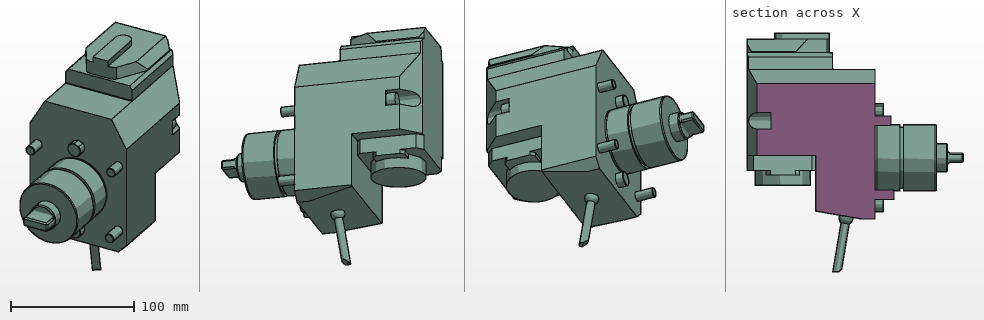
import cadquery as cq
import math


HALF_WIDTH = 45.0
BODY_BACK = 104.0
LEG_BACK = 48.3
REAR_BOTTOM = 1.8
HOUSING_BOTTOM = -50.0
HOUSING_TOP = 71.75
SHOULDER_HALF = 31.0
SHOULDER_ANGLE = 60.0
BOTTOM_CHAMFER = 7.5
BOTTOM_FLAT = 10.2
BOTTOM_SLOPE = 9.7
BACK_CHAMFER = 15.25

LEDGE_FRONT = 34.2
LEDGE_HEIGHT = 0.6
PLATE_FRONT = 34.6
PLATE_TOP = 85.4
PLATE_CHAMFER_RUN = 2.3
PLATE_CHAMFER_RISE = 3.6
DOVETAIL_TOP = 96.5
DOVETAIL_BASE_HALF = 29.0
DOVETAIL_TOP_HALF = 23.4
DOVETAIL_FRONT = 37.1
DOVETAIL_FLAT_HALF = 8.6
DOVETAIL_ARC_HALF = 13.8
DOVETAIL_ARC_DEPTH = 1.9
DOVETAIL_FOOT = 1.0
DOVETAIL_FLANK_START = 64.2
CORNER_CHAMFER = 5.3
KEY_HALF = 7.0
KEY_END = 81.7
KEY_TOP = 101.3

NOSE_Y = 75.0
BLOCK_BOTTOM = -10.5
BLOCK_FRONT_CHAMFER = 3.0
TAB_HALF = 10.2
TAB_FLARE = 3.4
TAB_DEPTH = 3.4
NOSE_DIA = 45.0
NOSE_END = -22.4

SPINDLE_DIA = 54.0
SPINDLE_LENGTH = 50.0
NECK_DIA = 53.6
NECK_LENGTH = 1.5
GROOVE_DIA = 49.9
GROOVE_START = 20.2
GROOVE_WIDTH = 2.7
SPINDLE_CHAMFER_RUN = 0.5
SPINDLE_CHAMFER_LENGTH = 1.2
SHAFT_DIA = 23.0
SHOULDER_Y = -59.0
SHOULDER_CHAMFER = 1.0
TANG_END = -71.7
TANG_HALF = 4.0
TANG_ROOT_RADIUS = 2.0
TANG_CHAMFER = 1.2
TANG_FLAT_HALF = 9.8

SCREW_X = 37.5
SCREW_Z = 30.0
SCREW_DIA = 8.0
SCREW_CHAMFER = 0.5
UPPER_SCREW_LENGTH = 13.0
LOWER_SCREW_LENGTH = 15.4
HEAD_DIA = 13.0
HEAD_SEAT_Y = 77.0
HEAD_LENGTH = 7.7
BOSS_Z = 38.0
BOSS_RADIUS = 6.0
BOSS_LENGTH = 7.0
BOSS_CHAMFER = 0.5
BOSS_FACET_ANGLE = 45.0
BALL_Y = 23.6
BALL_Z = -48.8
BALL_DIA = 11.6
CABLE_DIA = 7.0
CABLE_TILT = 9.5
CABLE_BOTTOM = -92.81
CABLE_CUT_RAISE = 0.5
CABLE_CUT_NORMAL = (0.45, -0.6, -1.0)


def box(x0, x1, y0, y1, z0, z1):
    size = cq.Workplane("XY").box(x1 - x0, y1 - y0, z1 - z0, centered=False)
    return size.translate((x0, y0, z0))


def rod(x, z, y_start, y_end, dia):
    """Cylinder along Y."""
    start = max(y_start, y_end)
    plane = cq.Workplane("XZ", origin=(x, start, z))
    return plane.circle(dia / 2).extrude(abs(y_end - y_start))


def front_outline(points, y_start, y_end):
    """Prism along Y with an outline of (x, z) points."""
    plane = cq.Workplane("XZ", origin=(0, y_end, 0))
    return plane.polyline(points).close().extrude(y_end - y_start)


def side_outline(points):
    """Prism across the housing width with an outline of (y, z) points."""
    plane = cq.Workplane("YZ", origin=(-HALF_WIDTH, 0, 0))
    return plane.polyline(points).close().extrude(2 * HALF_WIDTH)


def back_corners(half_width, chamfer, z0, z1):
    """Plan outline, chamfered at the two back corners, used to trim a block."""
    outline = [
        (-half_width, 0),
        (half_width, 0),
        (half_width, BODY_BACK - chamfer),
        (half_width - chamfer, BODY_BACK),
        (chamfer - half_width, BODY_BACK),
        (-half_width, BODY_BACK - chamfer),
    ]
    return cq.Workplane("XY", origin=(0, 0, z0)).polyline(outline).close().extrude(z1 - z0)


def housing():
    shoulder_drop = (HALF_WIDTH - SHOULDER_HALF) * math.tan(math.radians(SHOULDER_ANGLE))
    shoulder_z = HOUSING_TOP - shoulder_drop
    bottom_half = HALF_WIDTH - BOTTOM_CHAMFER
    chamfer_z = HOUSING_BOTTOM + BOTTOM_CHAMFER
    face = [
        (-bottom_half, HOUSING_BOTTOM),
        (bottom_half, HOUSING_BOTTOM),
        (HALF_WIDTH, chamfer_z),
        (HALF_WIDTH, shoulder_z),
        (SHOULDER_HALF, HOUSING_TOP),
        (-SHOULDER_HALF, HOUSING_TOP),
        (-HALF_WIDTH, shoulder_z),
        (-HALF_WIDTH, chamfer_z),
    ]
    slope_rise = (LEG_BACK - BOTTOM_FLAT) * math.tan(math.radians(BOTTOM_SLOPE))
    side = [
        (0, HOUSING_BOTTOM),
        (BOTTOM_FLAT, HOUSING_BOTTOM),
        (LEG_BACK, HOUSING_BOTTOM + slope_rise),
        (LEG_BACK, REAR_BOTTOM),
        (BODY_BACK, REAR_BOTTOM),
        (BODY_BACK, HOUSING_TOP),
        (0, HOUSING_TOP),
    ]
    body = front_outline(face, 0, BODY_BACK).intersect(side_outline(side))
    return body.intersect(back_corners(HALF_WIDTH, BACK_CHAMFER, HOUSING_BOTTOM, HOUSING_TOP))


def top_plate():
    chamfer_z = PLATE_TOP - PLATE_CHAMFER_RISE
    top_half = SHOULDER_HALF - PLATE_CHAMFER_RUN
    outline = [
        (-SHOULDER_HALF, HOUSING_TOP),
        (SHOULDER_HALF, HOUSING_TOP),
        (SHOULDER_HALF, chamfer_z),
        (top_half, PLATE_TOP),
        (-top_half, PLATE_TOP),
        (-SHOULDER_HALF, chamfer_z),
    ]
    plate = front_outline(outline, PLATE_FRONT, BODY_BACK)
    ledge = box(
        -SHOULDER_HALF, SHOULDER_HALF, LEDGE_FRONT, BODY_BACK, HOUSING_TOP, HOUSING_TOP + LEDGE_HEIGHT
    )
    trim = back_corners(HALF_WIDTH, BACK_CHAMFER, HOUSING_TOP, PLATE_TOP)
    return plate.union(ledge).intersect(trim)


def dovetail():
    """Wedge with sloping sides, pointed in plan with a blunt, rounded front."""
    foot_top = PLATE_TOP + DOVETAIL_FOOT
    cross_section = [
        (-DOVETAIL_BASE_HALF, PLATE_TOP),
        (DOVETAIL_BASE_HALF, PLATE_TOP),
        (DOVETAIL_BASE_HALF, foot_top),
        (DOVETAIL_TOP_HALF, DOVETAIL_TOP),
        (-DOVETAIL_TOP_HALF, DOVETAIL_TOP),
        (-DOVETAIL_BASE_HALF, foot_top),
    ]
    plan = (
        cq.Workplane("XY", origin=(0, 0, PLATE_TOP))
        .moveTo(0, DOVETAIL_FRONT)
        .lineTo(DOVETAIL_FLAT_HALF, DOVETAIL_FRONT)
        .tangentArcPoint((DOVETAIL_ARC_HALF, DOVETAIL_FRONT + DOVETAIL_ARC_DEPTH), relative=False)
        .lineTo(DOVETAIL_BASE_HALF, DOVETAIL_FLANK_START)
        .lineTo(DOVETAIL_BASE_HALF, BODY_BACK)
        .lineTo(0, BODY_BACK)
        .mirrorY()
    )
    pointed = plan.extrude(DOVETAIL_TOP - PLATE_TOP)
    wedge = front_outline(cross_section, DOVETAIL_FRONT, BODY_BACK).intersect(pointed)
    return wedge.intersect(back_corners(SHOULDER_HALF, CORNER_CHAMFER, PLATE_TOP, DOVETAIL_TOP))


def key():
    round_centre = KEY_END - KEY_HALF
    outline = (
        cq.Workplane("XY", origin=(0, 0, PLATE_TOP))
        .moveTo(-KEY_HALF, DOVETAIL_FRONT)
        .lineTo(KEY_HALF, DOVETAIL_FRONT)
        .lineTo(KEY_HALF, round_centre)
        .threePointArc((0, KEY_END), (-KEY_HALF, round_centre))
        .close()
    )
    return outline.extrude(KEY_TOP - PLATE_TOP)


def lower_block():
    block = box(-SHOULDER_HALF, SHOULDER_HALF, LEG_BACK, BODY_BACK, BLOCK_BOTTOM, REAR_BOTTOM)
    block = block.edges("<Y and |Z").chamfer(BLOCK_FRONT_CHAMFER)
    return block.intersect(back_corners(SHOULDER_HALF, CORNER_CHAMFER, BLOCK_BOTTOM, REAR_BOTTOM))


def tabs():
    """Hexagonal strip below the block, showing as a tapered tab on each side of the nose."""
    inner_x = SHOULDER_HALF - TAB_FLARE
    inner_half = TAB_HALF + TAB_FLARE
    outline = [
        (-SHOULDER_HALF, NOSE_Y - TAB_HALF),
        (-inner_x, NOSE_Y - inner_half),
        (inner_x, NOSE_Y - inner_half),
        (SHOULDER_HALF, NOSE_Y - TAB_HALF),
        (SHOULDER_HALF, NOSE_Y + TAB_HALF),
        (inner_x, NOSE_Y + inner_half),
        (-inner_x, NOSE_Y + inner_half),
        (-SHOULDER_HALF, NOSE_Y + TAB_HALF),
    ]
    return cq.Workplane("XY", origin=(0, 0, BLOCK_BOTTOM)).polyline(outline).close().extrude(-TAB_DEPTH)


def tool_nose():
    plane = cq.Workplane("XY", origin=(0, NOSE_Y, NOSE_END))
    return plane.circle(NOSE_DIA / 2).extrude(BLOCK_BOTTOM - NOSE_END)


def spindle():
    radius = SPINDLE_DIA / 2
    groove_end = GROOVE_START + GROOVE_WIDTH
    profile = [
        (0, 0),
        (NECK_DIA / 2, 0),
        (NECK_DIA / 2, -NECK_LENGTH),
        (radius, -NECK_LENGTH),
        (radius, -GROOVE_START),
        (GROOVE_DIA / 2, -GROOVE_START),
        (GROOVE_DIA / 2, -groove_end),
        (radius, -groove_end),
        (radius, SPINDLE_CHAMFER_LENGTH - SPINDLE_LENGTH),
        (radius - SPINDLE_CHAMFER_RUN, -SPINDLE_LENGTH),
        (0, -SPINDLE_LENGTH),
    ]
    return cq.Workplane("XY").polyline(profile).close().revolve(360, (0, 0, 0), (0, 1, 0))


def tang_side_profile():
    """Tang seen along X: chamfered at the tip, with concave root radii at the shoulder."""
    root = TANG_ROOT_RADIUS
    bend = root * (1 - math.sqrt(0.5))
    tip_half = TANG_HALF - TANG_CHAMFER
    return (
        cq.Workplane("YZ", origin=(-SHAFT_DIA / 2, 0, 0))
        .moveTo(SHOULDER_Y, -TANG_HALF - root)
        .threePointArc((SHOULDER_Y - bend, -TANG_HALF - bend), (SHOULDER_Y - root, -TANG_HALF))
        .lineTo(TANG_END + TANG_CHAMFER, -TANG_HALF)
        .lineTo(TANG_END, -tip_half)
        .lineTo(TANG_END, tip_half)
        .lineTo(TANG_END + TANG_CHAMFER, TANG_HALF)
        .lineTo(SHOULDER_Y - root, TANG_HALF)
        .threePointArc((SHOULDER_Y - bend, TANG_HALF + bend), (SHOULDER_Y, TANG_HALF + root))
        .close()
        .extrude(SHAFT_DIA)
    )


def drive_shaft():
    shaft = rod(0, 0, -SPINDLE_LENGTH, SHOULDER_Y, SHAFT_DIA)
    shaft = shaft.faces("<Y").chamfer(SHOULDER_CHAMFER)
    envelope = rod(0, 0, SHOULDER_Y, TANG_END, SHAFT_DIA).faces("<Y").chamfer(TANG_CHAMFER)
    tang = tang_side_profile().intersect(envelope)
    edge_run = SHAFT_DIA / 2 - TANG_FLAT_HALF
    long_edges = box(
        -SHAFT_DIA / 2, SHAFT_DIA / 2, TANG_END, SHOULDER_Y - TANG_ROOT_RADIUS, -TANG_HALF, TANG_HALF
    )
    bevelled = long_edges.edges("|Y").chamfer(edge_run)
    tang = tang.cut(long_edges.cut(bevelled))
    return shaft.union(tang)


def screw_recess(side):
    """Counterbore from the back, open through the side wall down to the screw head."""
    x = side * SCREW_X
    half = HEAD_DIA / 2
    bore = rod(x, SCREW_Z, HEAD_SEAT_Y, BODY_BACK, HEAD_DIA)
    x_near, x_far = sorted((x, side * HALF_WIDTH))
    opening = box(x_near, x_far, HEAD_SEAT_Y, BODY_BACK, SCREW_Z - half, SCREW_Z + half)
    head = rod(x, SCREW_Z, HEAD_SEAT_Y, HEAD_SEAT_Y + HEAD_LENGTH, HEAD_DIA)
    return bore.union(opening).cut(head)


def screw_end(x, z, length):
    return rod(x, z, 0, -length, SCREW_DIA).faces("<Y").chamfer(SCREW_CHAMFER)


def boss(z):
    return rod(0, z, 0, -BOSS_LENGTH, 2 * BOSS_RADIUS).faces("<Y").chamfer(BOSS_CHAMFER)


def faceted_boss(z):
    """Boss with two flats on its upper side that meet in a ridge."""
    angle = math.radians(BOSS_FACET_ANGLE)
    facet_x = BOSS_RADIUS * math.sin(angle)
    facet_z = BOSS_RADIUS * math.cos(angle)
    outline = (
        cq.Workplane("XZ", origin=(0, 0, z))
        .moveTo(0, BOSS_RADIUS)
        .lineTo(facet_x, facet_z)
        .threePointArc((0, -BOSS_RADIUS), (-facet_x, facet_z))
        .close()
    )
    return boss(z).intersect(outline.extrude(BOSS_LENGTH))


def cable():
    """Tilted cable leaving a ball joint, level at the bottom with an oblique cut across its end."""
    ball = cq.Workplane("XY", origin=(0, BALL_Y, BALL_Z)).sphere(BALL_DIA / 2)
    tilt = math.radians(CABLE_TILT)
    drop = BALL_Z - CABLE_BOTTOM
    direction = (0, math.sin(tilt), -math.cos(tilt))
    start = cq.Plane(origin=(0, BALL_Y, BALL_Z), xDir=(1, 0, 0), normal=direction)
    overlong = drop / math.cos(tilt) + CABLE_DIA
    cord = cq.Workplane(start).circle(CABLE_DIA / 2).extrude(overlong)
    end_y = BALL_Y + drop * math.tan(tilt)
    reach = 2 * CABLE_DIA
    below = box(-reach, reach, end_y - reach, end_y + reach, CABLE_BOTTOM - reach, CABLE_BOTTOM)
    cut_point = (0, end_y, CABLE_BOTTOM + CABLE_CUT_RAISE)
    oblique = cq.Plane(origin=cut_point, xDir=(-CABLE_CUT_NORMAL[1], CABLE_CUT_NORMAL[0], 0),
                       normal=CABLE_CUT_NORMAL)
    cut_off = cq.Workplane(oblique).rect(2 * reach, 2 * reach).extrude(reach)
    return ball.union(cord.cut(below).cut(cut_off))


result = housing()
for side in (-1, 1):
    result = result.cut(screw_recess(side))
for feature in (top_plate(), dovetail(), key(), lower_block(), tabs(), tool_nose()):
    result = result.union(feature)
for feature in (spindle(), drive_shaft(), faceted_boss(BOSS_Z), boss(-BOSS_Z), cable()):
    result = result.union(feature)
for side in (-1, 1):
    result = result.union(screw_end(side * SCREW_X, SCREW_Z, UPPER_SCREW_LENGTH))
    result = result.union(screw_end(side * SCREW_X, -SCREW_Z, LOWER_SCREW_LENGTH))